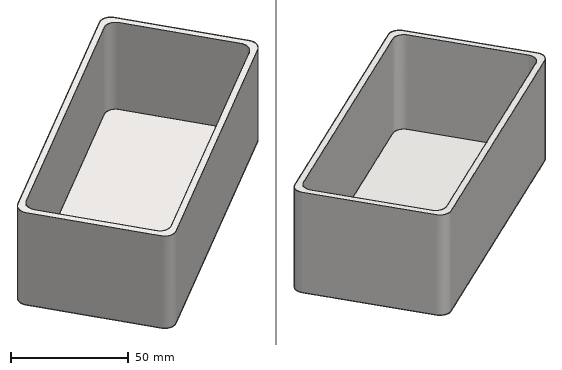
import cadquery as cq

length = 140.0
width = length / 2
height = 50.0
wall = 3.0
floor = 3.0
outer_corner_radius = 5.0
inner_corner_radius = 5.0


def rounded_block(size_x, size_y, size_z, corner_radius):
    """Block standing on Z = 0 with its four vertical edges rounded."""
    block = cq.Workplane("XY").box(size_x, size_y, size_z, centered=(True, True, False))
    return block.edges("|Z").fillet(corner_radius)


body = rounded_block(width, length, height, outer_corner_radius)

cavity = rounded_block(
    width - 2 * wall, length - 2 * wall, height - floor, inner_corner_radius
).translate((0, 0, floor))

result = body.cut(cavity)